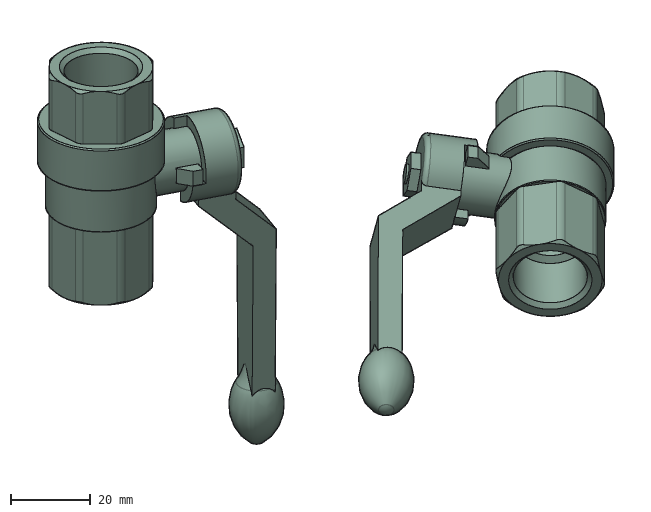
import cadquery as cq
import math

OVERALL_HEIGHT = 115.5

BODY_TOP = 30.5
FLANGE_TOP = 15.5
FLANGE_BOTTOM = 3.5
BARREL_BOTTOM = -9.2
BODY_BOTTOM = -30.5
FLANGE_DIAMETER = 32.0
BARREL_DIAMETER = 28.0
FLANGE_CHAMFER = 0.3
BARREL_TOP_CHAMFER = 0.5
BARREL_BOTTOM_CHAMFER = 0.2

OCTAGON_ACROSS_FLATS = 26.0
OCTAGON_CORNER_RADIUS = 2.8
OCTAGON_END_DIAMETER = 26.0
END_CHAMFER_HEIGHT = 1.7

PORT_DIAMETER = 18.6
PORT_MOUTH_DIAMETER = 20.9
PORT_DEPTH = 15.0
PORT_MOUTH_LENGTH = 1.2
PORT_CONE_LENGTH = 1.0
BORE_DIAMETER = 15.0

NECK_DIAMETER = 16.0
LUG_WIDTH = 4.3
LUG_OUTER_Y = 23.2
LUG_TAPER_Y = 20.6
LUG_ROOT_Y = 17.2

CAP_DIAMETER = 22.0
CAP_OUTER_Y = 34.1
CAP_INNER_Y = 24.0
SKIRT_INNER_Y = 20.6
CAP_EDGE_RADIUS = 1.4
NUT_ACROSS_FLATS = 10.0
NUT_OUTER_Y = 36.6
STEM_TIP_DIAMETER = 5.1
STEM_TIP_Y = 37.2

LEVER_WIDTH = 12.1
LEVER_END_WIDTH = 9.7
LEVER_OUTER_Y = 45.0
LEVER_INNER_Y = 38.8
CRANK_TOP_Z = -11.1
OUTER_BEND_Z = -21.8
INNER_BEND_Z = -25.5
LEVER_END_Z = -72.8

KNOB_DIAMETER = 14.0
KNOB_Y = (LEVER_OUTER_Y + LEVER_INNER_Y) / 2
KNOB_MIDDLE_Z = -74.0
KNOB_BOTTOM_Z = BODY_TOP - OVERALL_HEIGHT
KNOB_SIDE_RADIUS = 13.0
KNOB_SHOULDER_Z = -67.5
KNOB_NECK_MIDDLE = (3.8, -64.7)
KNOB_NECK_TOP = (3.1, -61.8)


def cylinder_z(diameter, bottom, top):
    return cq.Workplane("XY", origin=(0, 0, bottom)).circle(diameter / 2).extrude(top - bottom)


def cylinder_y(diameter, start, end):
    return cq.Workplane("XZ", origin=(0, start, 0)).circle(diameter / 2).extrude(start - end)


def octagon_end(root_z, end_z):
    """Octagonal wrench section with rounded edges and a turned 45-degree end chamfer."""
    height = end_z - root_z
    across_corners = OCTAGON_ACROSS_FLATS / math.cos(math.pi / 8)
    octagon = (
        cq.Workplane("XY", origin=(0, 0, root_z))
        .polygon(8, across_corners)
        .extrude(height)
        .edges("|Z")
        .fillet(OCTAGON_CORNER_RADIUS)
    )
    turned_blank = (
        cylinder_z(OCTAGON_END_DIAMETER + 2 * END_CHAMFER_HEIGHT, min(root_z, end_z), max(root_z, end_z))
        .faces(">Z" if height > 0 else "<Z")
        .chamfer(END_CHAMFER_HEIGHT)
    )
    return octagon.intersect(turned_blank)


def valve_body():
    flange = cylinder_z(FLANGE_DIAMETER, FLANGE_BOTTOM, FLANGE_TOP).edges().chamfer(FLANGE_CHAMFER)
    barrel = cylinder_z(BARREL_DIAMETER, BARREL_BOTTOM, FLANGE_BOTTOM)
    barrel = barrel.faces(">Z").chamfer(BARREL_TOP_CHAMFER).faces("<Z").chamfer(BARREL_BOTTOM_CHAMFER)
    upper_end = octagon_end(FLANGE_BOTTOM, BODY_TOP)
    lower_end = octagon_end(0, BODY_BOTTOM)
    return flange.union(barrel).union(upper_end).union(lower_end)


def flow_passage():
    """Through bore with a chamfered counterbore at each end, mirrored about the mid-height of the body."""
    middle_z = (BODY_TOP + BODY_BOTTOM) / 2
    mouth_radius = PORT_MOUTH_DIAMETER / 2
    port_radius = PORT_DIAMETER / 2
    bore_radius = BORE_DIAMETER / 2
    port_bottom = BODY_TOP - PORT_DEPTH
    upper_half = (
        cq.Workplane("XZ")
        .moveTo(0, middle_z)
        .lineTo(bore_radius, middle_z)
        .lineTo(bore_radius, port_bottom - PORT_CONE_LENGTH)
        .lineTo(port_radius, port_bottom)
        .lineTo(port_radius, BODY_TOP - PORT_MOUTH_LENGTH)
        .lineTo(mouth_radius, BODY_TOP)
        .lineTo(0, BODY_TOP)
        .close()
        .revolve(360, (0, 0), (0, 1))
    )
    return upper_half.union(upper_half.mirror("XY", (0, 0, middle_z)))


def stem_neck():
    neck = cylinder_y(NECK_DIAMETER, 0, CAP_INNER_Y)
    lug_radius = CAP_DIAMETER / 2
    neck_radius = NECK_DIAMETER / 2
    lugs = (
        cq.Workplane("XY", origin=(0, 0, -LUG_WIDTH / 2))
        .moveTo(lug_radius, LUG_OUTER_Y)
        .lineTo(lug_radius, LUG_TAPER_Y)
        .lineTo(neck_radius, LUG_ROOT_Y)
        .lineTo(-neck_radius, LUG_ROOT_Y)
        .lineTo(-lug_radius, LUG_TAPER_Y)
        .lineTo(-lug_radius, LUG_OUTER_Y)
        .close()
        .extrude(LUG_WIDTH)
    )
    return neck.union(lugs)


def handle_cap():
    """Round cap whose skirt keeps only two opposite stop sectors."""
    cap = cylinder_y(CAP_DIAMETER, CAP_INNER_Y, CAP_OUTER_Y).faces(">Y").fillet(CAP_EDGE_RADIUS)
    skirt = cylinder_y(CAP_DIAMETER, SKIRT_INNER_Y, CAP_INNER_Y)
    sector_offset = (CAP_DIAMETER + LUG_WIDTH) / 2
    skirt_depth = CAP_INNER_Y - SKIRT_INNER_Y
    for side in (-1, 1):
        sector = cq.Workplane("XY").box(CAP_DIAMETER, skirt_depth, CAP_DIAMETER).translate(
            (side * sector_offset, (CAP_INNER_Y + SKIRT_INNER_Y) / 2, -side * sector_offset)
        )
        cap = cap.union(skirt.intersect(sector))
    return cap


def nut_and_stem_tip():
    across_corners = NUT_ACROSS_FLATS / math.cos(math.pi / 6)
    nut = (
        cq.Workplane("XZ", origin=(0, CAP_OUTER_Y, 0))
        .polygon(6, across_corners)
        .extrude(CAP_OUTER_Y - NUT_OUTER_Y)
        .rotate((0, 0, 0), (0, 1, 0), 30)
    )
    return nut.union(cylinder_y(STEM_TIP_DIAMETER, CAP_OUTER_Y, STEM_TIP_Y))


def lever():
    """Cranked bar, widest at the stem axis and tapered evenly to its end."""
    side_profile = (
        cq.Workplane("YZ", origin=(-LEVER_WIDTH / 2, 0, 0))
        .moveTo(CAP_INNER_Y, 0)
        .lineTo(CAP_OUTER_Y, 0)
        .lineTo(CAP_OUTER_Y, CRANK_TOP_Z)
        .lineTo(LEVER_OUTER_Y, OUTER_BEND_Z)
        .lineTo(LEVER_OUTER_Y, LEVER_END_Z)
        .lineTo(LEVER_INNER_Y, LEVER_END_Z)
        .lineTo(LEVER_INNER_Y, INNER_BEND_Z)
        .lineTo(CAP_INNER_Y, CRANK_TOP_Z)
        .close()
        .extrude(LEVER_WIDTH)
    )
    width_profile = (
        cq.Workplane("XZ")
        .moveTo(LEVER_WIDTH / 2, 0)
        .lineTo(LEVER_END_WIDTH / 2, LEVER_END_Z)
        .lineTo(-LEVER_END_WIDTH / 2, LEVER_END_Z)
        .lineTo(-LEVER_WIDTH / 2, 0)
        .close()
        .extrude(-LEVER_OUTER_Y)
    )
    return side_profile.intersect(width_profile)


def knob():
    """Pointed knob: one side arc, a tangent round tip and a hollow-curved neck."""
    arc_center_r = KNOB_DIAMETER / 2 - KNOB_SIDE_RADIUS
    half_length = KNOB_MIDDLE_Z - KNOB_BOTTOM_Z

    def side_point(angle):
        radius = arc_center_r + KNOB_SIDE_RADIUS * math.cos(angle)
        return (radius, KNOB_MIDDLE_Z + KNOB_SIDE_RADIUS * math.sin(angle))

    tip_radius = (KNOB_SIDE_RADIUS**2 - arc_center_r**2 - half_length**2) / (
        2 * (KNOB_SIDE_RADIUS - half_length)
    )
    tip_center_z = KNOB_BOTTOM_Z + tip_radius
    tip_angle = math.atan2(tip_center_z - KNOB_MIDDLE_Z, -arc_center_r)
    tip_middle_angle = (tip_angle - math.pi / 2) / 2
    tip_middle = (
        tip_radius * math.cos(tip_middle_angle),
        tip_center_z + tip_radius * math.sin(tip_middle_angle),
    )
    shoulder_angle = math.asin((KNOB_SHOULDER_Z - KNOB_MIDDLE_Z) / KNOB_SIDE_RADIUS)
    return (
        cq.Workplane("XZ", origin=(0, KNOB_Y, 0))
        .moveTo(0, KNOB_BOTTOM_Z)
        .threePointArc(tip_middle, side_point(tip_angle))
        .threePointArc(side_point(0), side_point(shoulder_angle))
        .threePointArc(KNOB_NECK_MIDDLE, KNOB_NECK_TOP)
        .lineTo(0, KNOB_NECK_TOP[1])
        .close()
        .revolve(360, (0, 0), (0, 1))
    )


result = (
    valve_body()
    .union(stem_neck())
    .cut(flow_passage())
    .union(handle_cap())
    .union(lever())
    .union(knob())
    .union(nut_and_stem_tip())
)